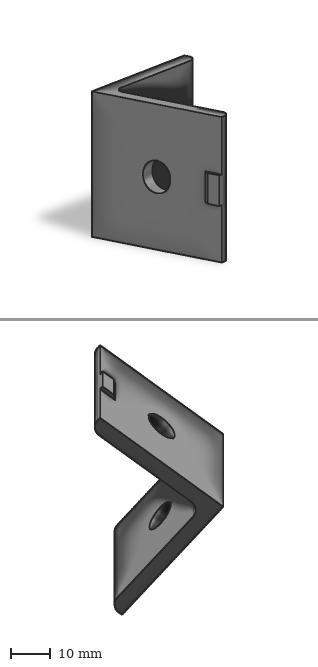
import cadquery as cq

overall = 41.0
height = 38.0
tab_depth = 1.0
wall = 4.0
root_radius = 3.0
tip_radius = 3.0
hole_diameter = 8.5
tab_length = 5.0
tab_ramp = 1.45
tab_height = 8.0

leg = overall - tab_depth


def angle_profile():
    """L-shaped solid with its outer corner on the Z axis, centred on Z = 0."""
    body = (
        cq.Workplane("XY")
        .polyline([(0, 0), (leg, 0), (leg, wall), (wall, wall), (wall, leg), (0, leg)])
        .close()
        .extrude(height / 2, both=True)
    )
    root_edge = cq.selectors.NearestToPointSelector((wall, wall, 0))
    body = body.edges("|Z").edges(root_edge).fillet(root_radius)
    for tip in [(leg, wall, 0), (wall, leg, 0)]:
        tip_edge = cq.selectors.NearestToPointSelector(tip)
        body = body.edges("|Z").edges(tip_edge).fillet(tip_radius)
    return body


def mirror_to_other_leg(feature):
    """Reflect a feature of the X leg across the plane X = Y."""
    return feature.mirror("YZ").rotate((0, 0, 0), (0, 0, 1), -90)


def bolt_hole():
    """Cutter through the middle of the X leg."""
    return (
        cq.Workplane("XZ")
        .center(leg / 2, 0)
        .circle(hole_diameter / 2)
        .extrude(-wall)
    )


def locating_tab():
    """Tab at the free end of the X leg, with a ramp facing the corner."""
    tab_start = leg - tab_length
    return (
        cq.Workplane("XY")
        .polyline([
            (tab_start, 0),
            (tab_start + tab_ramp, -tab_depth),
            (leg, -tab_depth),
            (leg, 0),
        ])
        .close()
        .extrude(tab_height / 2, both=True)
    )


hole = bolt_hole()
tab = locating_tab()

result = (
    angle_profile()
    .union(tab)
    .union(mirror_to_other_leg(tab))
    .cut(hole)
    .cut(mirror_to_other_leg(hole))
)